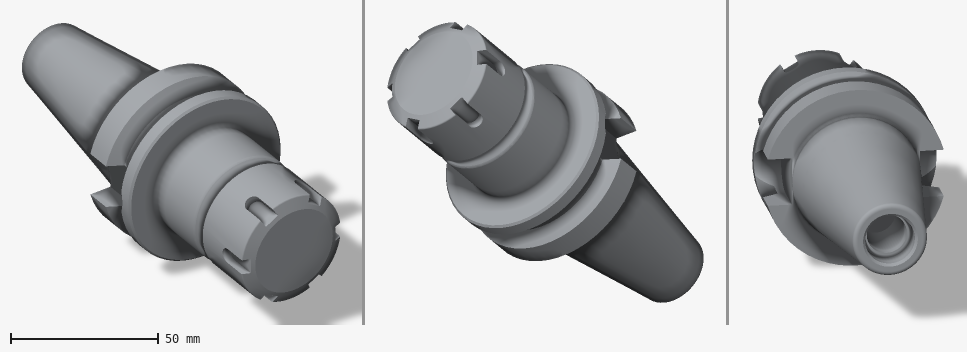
import cadquery as cq

TOTAL_LENGTH = 145.5

TAPER_RATIO = 7 / 24
GAUGE_DIAMETER = 44.4
GAUGE_X = 65.3
NOSE_FILLET = 1.6
SHOULDER_FILLET = 0.9

FLANGE_DIAMETER = 63.0
FLANGE_START = 67.5
FLANGE_END = 92.5
FLANGE_CHAMFER = 0.7
GROOVE_DIAMETER = 52.4
GROOVE_START = 79.9
GROOVE_END = 84.2
GROOVE_FLANK_LENGTH = 3.0

DRIVE_SLOT_COUNT = 2
DRIVE_SLOT_WIDTH = 16.6
DRIVE_SLOT_END = 88.3
DRIVE_SLOT_FLOOR = 22.1

BODY_DIAMETER = 41.2
BODY_FILLET = 1.3
BODY_END = 115.2
BODY_END_FILLET = 1.5
NECK_DIAMETER = 32.0

NUT_DIAMETER = BODY_DIAMETER
NUT_START = 120.2
NUT_REAR_CHAMFER = 0.5
NUT_FACE_DIAMETER = NECK_DIAMETER
NUT_CONE_LENGTH = 1.7
NUT_EDGE_FILLET = 0.6
NUT_SLOT_COUNT = 6
NUT_SLOT_WIDTH = 5.7
NUT_SLOT_START = 132.5
NUT_SLOT_FLOOR = 17.5

BORE_DIAMETER = 17.2
BORE_DEPTH = 7.3
BORE_MOUTH_CHAMFER = 0.9
INNER_BORE_DIAMETER = 13.8
INNER_BORE_END = 29.1


def turned(points):
    """Solid of revolution about X from (x, radius) points, closed along the axis."""
    outline = [(points[0][0], 0)] + points + [(points[-1][0], 0)]
    return cq.Workplane("XY").polyline(outline).close().revolve(360, (0, 0, 0), (1, 0, 0))


def circles_at(solid, x, radius):
    """Circular edges about X at the given position and radius."""
    tolerance = 0.001

    def matches(edge):
        return abs(edge.arcCenter().x - x) < tolerance and abs(edge.radius() - radius) < tolerance

    return solid.edges("%CIRCLE").filter(matches)


def make_holder():
    """Taper shank, grooved flange, body and neck."""
    gauge_radius = GAUGE_DIAMETER / 2
    nose_radius = gauge_radius - GAUGE_X * TAPER_RATIO / 2
    flange_radius = FLANGE_DIAMETER / 2
    groove_radius = GROOVE_DIAMETER / 2
    body_radius = BODY_DIAMETER / 2
    neck_radius = NECK_DIAMETER / 2
    neck_start = BODY_END + body_radius - neck_radius
    holder = turned([
        (0, nose_radius),
        (GAUGE_X, gauge_radius),
        (FLANGE_START, gauge_radius),
        (FLANGE_START, flange_radius),
        (GROOVE_START - GROOVE_FLANK_LENGTH, flange_radius),
        (GROOVE_START, groove_radius),
        (GROOVE_END, groove_radius),
        (GROOVE_END + GROOVE_FLANK_LENGTH, flange_radius),
        (FLANGE_END, flange_radius),
        (FLANGE_END, body_radius),
        (BODY_END, body_radius),
        (neck_start, neck_radius),
        (NUT_START, neck_radius),
    ])
    holder = circles_at(holder, 0, nose_radius).fillet(NOSE_FILLET)
    holder = circles_at(holder, FLANGE_START, gauge_radius).fillet(SHOULDER_FILLET)
    holder = circles_at(holder, FLANGE_END, flange_radius).chamfer(FLANGE_CHAMFER)
    holder = circles_at(holder, FLANGE_END, body_radius).fillet(BODY_FILLET)
    return circles_at(holder, BODY_END, body_radius).fillet(BODY_END_FILLET)


def make_nut():
    """Round nut with a conical front."""
    radius = NUT_DIAMETER / 2
    cone_start = TOTAL_LENGTH - NUT_CONE_LENGTH
    nut = turned([
        (NUT_START, radius - NUT_REAR_CHAMFER),
        (NUT_START + NUT_REAR_CHAMFER, radius),
        (cone_start, radius),
        (TOTAL_LENGTH, NUT_FACE_DIAMETER / 2),
    ])
    return circles_at(nut, cone_start, radius).fillet(NUT_EDGE_FILLET)


def round_ended_slot(open_x, tip_x, width, floor, outside, tip_side):
    """Cutter on the -Y side: flat floor, one open end and one half-round end.

    Floor and outside are distances from the axis.
    tip_side is 1 when the round end points to +X and -1 when it points to -X.
    """
    half = width / 2
    arc_x = tip_x - tip_side * half
    outline = (
        cq.Workplane("XZ", origin=(0, -floor, 0))
        .moveTo(open_x, -half)
        .lineTo(arc_x, -half)
        .threePointArc((tip_x, 0), (arc_x, half))
        .lineTo(open_x, half)
        .close()
    )
    return outline.extrude(outside - floor)


def around_axis(cutter, count):
    """The cutter repeated evenly about the X axis."""
    step = 360 / count
    copies = cutter
    for index in range(1, count):
        copies = copies.union(cutter.rotate((0, 0, 0), (1, 0, 0), index * step))
    return copies


def make_bore():
    """Stepped bore with a chamfered mouth."""
    radius = BORE_DIAMETER / 2
    inner_radius = INNER_BORE_DIAMETER / 2
    return turned([
        (0, radius + BORE_MOUTH_CHAMFER),
        (BORE_MOUTH_CHAMFER, radius),
        (BORE_DEPTH, radius),
        (BORE_DEPTH, inner_radius),
        (INNER_BORE_END, inner_radius),
    ])


drive_slot = round_ended_slot(
    open_x=FLANGE_START - SHOULDER_FILLET,
    tip_x=DRIVE_SLOT_END,
    width=DRIVE_SLOT_WIDTH,
    floor=DRIVE_SLOT_FLOOR,
    outside=FLANGE_DIAMETER,
    tip_side=1,
)
nut_slot = round_ended_slot(
    open_x=TOTAL_LENGTH,
    tip_x=NUT_SLOT_START,
    width=NUT_SLOT_WIDTH,
    floor=NUT_SLOT_FLOOR,
    outside=NUT_DIAMETER,
    tip_side=-1,
)

holder = make_holder().cut(around_axis(drive_slot, DRIVE_SLOT_COUNT)).cut(make_bore())
nut = make_nut().cut(around_axis(nut_slot, NUT_SLOT_COUNT))
result = holder.union(nut)